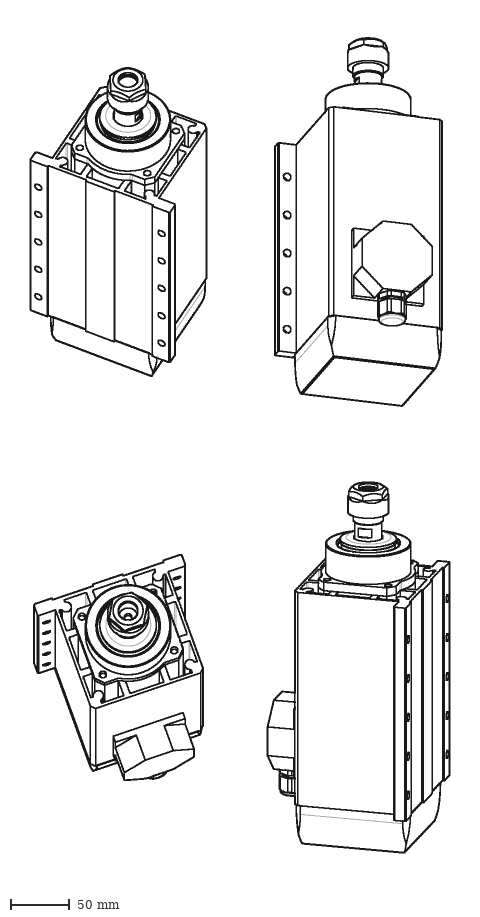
import cadquery as cq
import math


housing_length = 191.5
housing_half_x = 51.0
housing_half_y = 51.5
housing_corner_chamfer = 3.5
wall_inner_x = 48.2
wall_inner_top = 48.7
wall_inner_bottom = 48.0

foot_half_width = 67.0
foot_top_y = -42.1
pad_depth = 1.5
foot_bottom_y = -housing_half_y - pad_depth
foot_pad_inner_x = 50.2
centre_pad_half_width = 13.6
foot_chamfer = 1.0

foot_hole_x = 59.0
foot_hole_diameter = 6.6
foot_hole_count = 5
foot_hole_pitch = 35.0
first_foot_hole_z = 21.0

side_pocket_half_width = 15.3
side_pocket_fillet = 1.0
corner_pocket_start_x = 21.0
corner_pocket_start_y = 21.4
corner_pocket_fillet = 0.8

screw_boss_centre = 41.5
screw_boss_radius = 4.4
screw_neck_half_width = 4.0
screw_block_inner = 40.9


flange_half_x = 40.0
flange_half_y = 34.6
flange_chamfer = 6.5
flange_lobe_radius = 40.3
flange_blend_radius = 4.0
flange_thickness = 7.6
flange_hole_x = 32.3
flange_hole_y = 27.1
flange_hole_diameter = 6.0
nose_radius = 36.5
nose_top = 33.0
nose_chamfer = 0.8
seal_recess_radius = 26.3
seal_recess_chamfer = 1.2
seal_recess_floor = 30.0

seal_bore_radius = 12.6
seal_neck_radius = 23.2
seal_rim_bottom = 34.1
seal_radius = 24.2
seal_shoulder = 36.8
seal_top_radius = 19.2
seal_top = 38.3

shaft_radius = 11.7
collar_radius = 13.0
collar_bottom = 52.8
collar_chamfer = 0.8
collar_top = 60.8
wrench_flat_distance = 10.1
wrench_flat_bottom = 41.2
wrench_flat_top = 48.9
centre_hole_diameter = 6.6
centre_hole_depth = 6.0
drill_point_angle = 118.0

nut_radius = 17.5
nut_top = 83.5
nut_top_radius = 12.8
nut_top_chamfer = 3.6
hexagon_sides = 6
nut_hex_across_flats = 30.0
nut_hex_bottom = 75.9
nut_ledge_drop = 1.8
nut_lip_thickness = 2.7
collet_gap = 1.5
collet_outer_radius = 10.0
collet_bore_radius = 8.3
collet_mouth_chamfer = 0.8

box_half_width = 31.6
box_outer_y = 80.5
box_step_y = 57.1
box_bottom = 17.8
box_height = 62.0
box_chamfer_x = 18.9
box_chamfer_z = 18.1

gland_y = 66.5
gland_across_flats = 23.0
gland_corner_radius = 12.4
gland_base_height = 4.7
gland_neck_radius = 9.6
gland_neck_height = 2.6
gland_cap_height = 16.4
gland_cap_hexagon_height = 13.2
gland_cap_bevel = 1.0
gland_cap_fillet = 2.0

cover_height = 36.0
cover_half_width = 51.0
cover_inset = 5.5
cover_corner_chamfer = 5.4
cover_side_straight = 7.5
cover_edge_chamfer = 0.8


def cylinder(radius, bottom, top):
    return cq.Workplane("XY", origin=(0, 0, bottom)).circle(radius).extrude(top - bottom)


def revolved(profile):
    """Turned solid from (radius, height) points."""
    return cq.Workplane("XZ").polyline(profile).close().revolve(360, (0, 0), (0, 1))


def block(x_min, x_max, y_min, y_max, z_min, z_max):
    """Box given by its limits along each axis."""
    return cq.Workplane("XY").box(
        x_max - x_min, y_max - y_min, z_max - z_min, centered=False
    ).translate((x_min, y_min, z_min))


def front_outline(height):
    """Chamfered rectangle with a round lobe on its two long sides, shared by core and flange."""
    plate = (
        cq.Workplane("XY")
        .rect(2 * flange_half_x, 2 * flange_half_y)
        .extrude(height)
        .edges("|Z")
        .chamfer(flange_chamfer)
    )
    lobe = cylinder(flange_lobe_radius, 0, height)
    lobe_x = math.sqrt(flange_lobe_radius**2 - flange_half_y**2)
    lobe_slab = block(-lobe_x, lobe_x, -flange_lobe_radius, flange_lobe_radius, 0, height)
    outline = plate.union(lobe.intersect(lobe_slab))
    for side_x in (-1, 1):
        for side_y in (-1, 1):
            corner = (side_x * lobe_x, side_y * flange_half_y, height / 2)
            outline = outline.edges(cq.NearestToPointSelector(corner)).fillet(flange_blend_radius)
    return outline


def screw_block(side_x, side_y):
    """Solid corner with a diagonal neck and a round end, left standing in a corner pocket."""
    neck_length = 2 * (housing_half_x - screw_boss_centre)
    centre = (screw_boss_centre, screw_boss_centre, 0)
    boss = cylinder(screw_boss_radius, 0, housing_length).translate(centre)
    neck = (
        cq.Workplane("XY")
        .rect(neck_length, 2 * screw_neck_half_width)
        .extrude(housing_length)
        .translate((neck_length / 2, 0, 0))
        .rotate((0, 0, 0), (0, 0, 1), 45)
        .translate(centre)
    )
    corner = block(
        screw_block_inner, housing_half_x, screw_block_inner, housing_half_y, 0, housing_length
    )
    solid = boss.union(neck).union(corner)
    if side_x < 0:
        solid = solid.mirror("YZ")
    if side_y < 0:
        solid = solid.mirror("XZ")
    return solid


def housing_pockets():
    """All the lengthwise openings between the outer wall, the ribs and the core."""
    half = side_pocket_half_width
    pockets = []
    for y_min, y_max in ((0, wall_inner_top), (-wall_inner_bottom, 0)):
        pocket = block(-half, half, y_min, y_max, 0, housing_length)
        pockets.append(pocket.edges("|Z").fillet(side_pocket_fillet))
    for x_min in (0, -wall_inner_x):
        pocket = block(x_min, x_min + wall_inner_x, -half, half, 0, housing_length)
        pockets.append(pocket.edges("|Z").fillet(side_pocket_fillet))
    for side_x in (-1, 1):
        for side_y, wall_y in ((1, wall_inner_top), (-1, wall_inner_bottom)):
            x_limits = sorted((side_x * corner_pocket_start_x, side_x * wall_inner_x))
            y_limits = sorted((side_y * corner_pocket_start_y, side_y * wall_y))
            pocket = block(*x_limits, *y_limits, 0, housing_length)
            pocket = pocket.edges("|Z").fillet(corner_pocket_fillet)
            pockets.append(pocket.cut(screw_block(side_x, side_y)))
    core = front_outline(housing_length)
    return [pocket.cut(core) for pocket in pockets]


def make_housing():
    body = block(
        -housing_half_x, housing_half_x, -housing_half_y, housing_half_y, 0, housing_length
    )
    body = body.edges("|Z and >Y").chamfer(housing_corner_chamfer)
    foot = block(-foot_half_width, foot_half_width, foot_bottom_y, foot_top_y, 0, housing_length)
    foot = foot.edges("|Z").chamfer(foot_chamfer)
    body = body.union(foot)
    for side in (-1, 1):
        x_limits = sorted((side * centre_pad_half_width, side * foot_pad_inner_x))
        relief = block(*x_limits, foot_bottom_y, -housing_half_y, 0, housing_length)
        body = body.cut(relief)
    for pocket in housing_pockets():
        body = body.cut(pocket)
    hole_points = [
        (side * foot_hole_x, first_foot_hole_z + index * foot_hole_pitch)
        for side in (-1, 1)
        for index in range(foot_hole_count)
    ]
    foot_holes = (
        cq.Workplane("XZ", origin=(0, foot_top_y, 0))
        .pushPoints(hole_points)
        .circle(foot_hole_diameter / 2)
        .extrude(foot_top_y - foot_bottom_y)
    )
    return body.cut(foot_holes)


def make_flange():
    nose = cylinder(nose_radius, flange_thickness, nose_top).faces(">Z").edges().chamfer(nose_chamfer)
    recess_mouth_radius = seal_recess_radius + seal_recess_chamfer
    recess_profile = [
        (0, seal_recess_floor),
        (seal_recess_radius, seal_recess_floor),
        (seal_recess_radius, nose_top - seal_recess_chamfer),
        (recess_mouth_radius, nose_top),
        (0, nose_top),
    ]
    recess = revolved(recess_profile)
    shaft_bore = cylinder(shaft_radius, 0, nose_top)
    screw_holes = (
        cq.Workplane("XY")
        .rect(2 * flange_hole_x, 2 * flange_hole_y, forConstruction=True)
        .vertices()
        .circle(flange_hole_diameter / 2)
        .extrude(flange_thickness)
    )
    return front_outline(flange_thickness).union(nose).cut(recess).cut(shaft_bore).cut(screw_holes)


def make_seal_ring():
    profile = [
        (seal_bore_radius, seal_recess_floor),
        (seal_neck_radius, seal_recess_floor),
        (seal_neck_radius, seal_rim_bottom),
        (seal_radius, seal_rim_bottom),
        (seal_radius, seal_shoulder),
        (seal_top_radius, seal_top),
        (seal_bore_radius, seal_top),
    ]
    return revolved(profile)


def make_shaft():
    journal = cylinder(shaft_radius, 0, collar_bottom)
    collar = cylinder(collar_radius, collar_bottom, collar_top)
    collar = collar.faces("<Z").edges().chamfer(collar_chamfer)
    shaft = journal.union(collar)
    for side in (-1, 1):
        x_limits = sorted((side * wrench_flat_distance, side * collar_radius))
        flat = block(*x_limits, -collar_radius, collar_radius, wrench_flat_bottom, wrench_flat_top)
        shaft = shaft.cut(flat)
    hole_radius = centre_hole_diameter / 2
    hole_bottom = collar_top - centre_hole_depth
    point_bottom = hole_bottom - hole_radius / math.tan(math.radians(drill_point_angle / 2))
    hole_profile = [
        (0, point_bottom),
        (hole_radius, hole_bottom),
        (hole_radius, collar_top),
        (0, collar_top),
    ]
    return shaft.cut(revolved(hole_profile))


def make_nut():
    profile = [
        (collet_outer_radius, collar_top),
        (nut_radius, collar_top),
        (nut_radius, nut_top - nut_top_chamfer),
        (nut_top_radius, nut_top),
        (collet_bore_radius, nut_top),
        (collet_bore_radius, nut_top - nut_lip_thickness),
        (collet_outer_radius, nut_top - nut_lip_thickness),
    ]
    nut = revolved(profile)
    flat_x = nut_hex_across_flats / 2
    ledge_end = nut_hex_bottom - nut_ledge_drop
    flat_profile = [
        (flat_x, nut_top),
        (flat_x, nut_hex_bottom),
        (nut_radius, ledge_end),
        (nut_radius, nut_top),
    ]
    flat = cq.Workplane("XZ").polyline(flat_profile).close().extrude(nut_radius, both=True)
    side_angle = 360 / hexagon_sides
    for index in range(hexagon_sides):
        nut = nut.cut(flat.rotate((0, 0, 0), (0, 0, 1), (index + 0.5) * side_angle))
    return nut


def make_collet():
    """Sleeve seated in the nut, just below its lip, on the end of the shaft."""
    top = nut_top - nut_lip_thickness - collet_gap
    profile = [
        (collet_bore_radius, collar_top),
        (collet_outer_radius, collar_top),
        (collet_outer_radius, top),
        (collet_bore_radius + collet_mouth_chamfer, top),
        (collet_bore_radius, top - collet_mouth_chamfer),
    ]
    return revolved(profile)


def make_terminal_box():
    base = block(
        -box_half_width, box_half_width, housing_half_y, box_step_y, box_bottom, box_bottom + box_height
    )
    half_height = box_height / 2
    flat_x = box_half_width - box_chamfer_x
    flat_z = half_height - box_chamfer_z
    octagon = [
        (flat_x, half_height),
        (box_half_width, flat_z),
        (box_half_width, -flat_z),
        (flat_x, -half_height),
        (-flat_x, -half_height),
        (-box_half_width, -flat_z),
        (-box_half_width, flat_z),
        (-flat_x, half_height),
    ]
    lid = (
        cq.Workplane("XZ", origin=(0, box_step_y, box_bottom + half_height))
        .polyline(octagon)
        .close()
        .extrude(box_step_y - box_outer_y)
    )
    return base.union(lid)


def gland_hexagon(top, height):
    """Hexagon with corners along X, its corners rounded off by a cylinder."""
    corner_diameter = gland_across_flats / math.cos(math.pi / hexagon_sides)
    hexagon = cq.Workplane("XY").polygon(hexagon_sides, corner_diameter).extrude(height)
    hexagon = hexagon.intersect(cylinder(gland_corner_radius, 0, height))
    return hexagon.translate((0, gland_y, top - height))


def make_gland_body():
    neck_top = box_bottom - gland_base_height
    neck = cylinder(gland_neck_radius, neck_top - gland_neck_height, neck_top)
    return gland_hexagon(box_bottom, gland_base_height).union(neck.translate((0, gland_y, 0)))


def make_gland_cap():
    cap_top = box_bottom - gland_base_height - gland_neck_height
    cap_bottom = cap_top - gland_cap_height
    hexagon_bottom = cap_top - gland_cap_hexagon_height
    centre = (0, gland_y, 0)
    bevelled = cylinder(gland_corner_radius, hexagon_bottom, cap_top)
    bevelled = bevelled.faces("<Z").edges().chamfer(gland_cap_bevel).translate(centre)
    hexagon = gland_hexagon(cap_top, gland_cap_hexagon_height).intersect(bevelled)
    round_end = cylinder(gland_corner_radius - gland_cap_bevel, cap_bottom, hexagon_bottom)
    round_end = round_end.faces("<Z").edges().fillet(gland_cap_fillet).translate(centre)
    return hexagon.union(round_end)


def cover_profile(plane, straight):
    """Prism whose two sides run straight down, then curve inward to the bottom."""
    bottom_half = cover_half_width - cover_inset
    drop = cover_height - straight
    radius = (drop**2 + cover_inset**2) / (2 * cover_inset)
    half_angle = math.asin(drop / radius) / 2
    mid_half = cover_half_width - radius * (1 - math.cos(half_angle))
    mid_z = -straight - radius * math.sin(half_angle)
    outline = cq.Workplane(plane).moveTo(cover_half_width, 0)
    if straight > 0:
        outline = outline.lineTo(cover_half_width, -straight)
    outline = (
        outline.threePointArc((mid_half, mid_z), (bottom_half, -cover_height))
        .lineTo(-bottom_half, -cover_height)
        .threePointArc((-mid_half, mid_z), (-cover_half_width, -straight))
    )
    if straight > 0:
        outline = outline.lineTo(-cover_half_width, 0)
    return outline.close().extrude(cover_half_width, both=True)


def make_rear_cover():
    corner_column = (
        cq.Workplane("XY")
        .rect(2 * cover_half_width, 2 * cover_half_width)
        .extrude(-cover_height)
        .edges("|Z")
        .chamfer(cover_corner_chamfer)
    )
    cover = cover_profile("XZ", cover_side_straight).intersect(cover_profile("YZ", 0))
    cover = cover.intersect(corner_column)
    return cover.faces("<Z").edges().chamfer(cover_edge_chamfer)


front_face = (0, 0, housing_length)

housing = make_housing()
flange = make_flange().translate(front_face)
seal_ring = make_seal_ring().translate(front_face)
shaft = make_shaft().translate(front_face)
nut = make_nut().translate(front_face)
collet = make_collet().translate(front_face)
terminal_box = make_terminal_box()
gland_body = make_gland_body()
gland_cap = make_gland_cap()
rear_cover = make_rear_cover()

result = cq.Compound.makeCompound([
    housing.val(),
    flange.val(),
    seal_ring.val(),
    shaft.val(),
    nut.val(),
    collet.val(),
    terminal_box.val(),
    gland_body.val(),
    gland_cap.val(),
    rear_cover.val(),
])